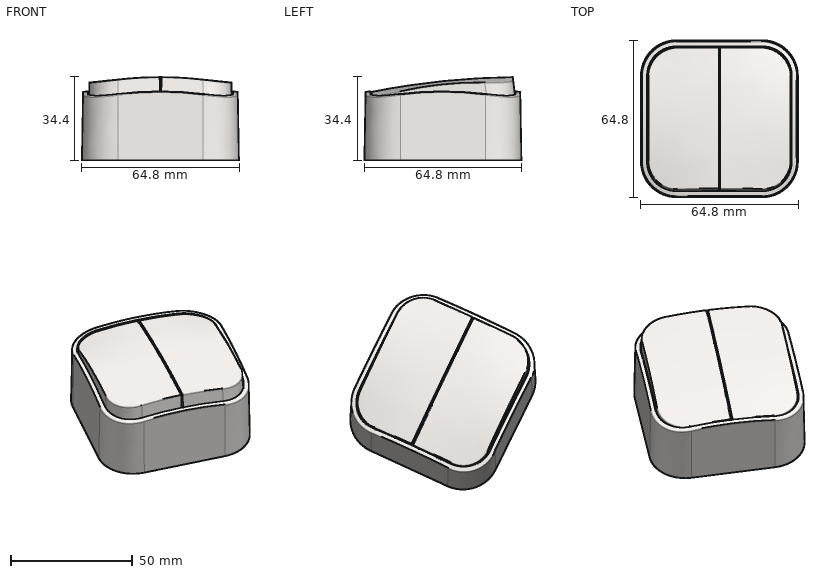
import cadquery as cq
import math

SIZE = 64.8
CORNER_FLAT = 17.5
BLANK_HEIGHT = 32.4
DRAFT = 1.0
RIM_HEIGHT = 28.3

DOME_REACH = 33.7
SIDE_DROP = 1.8
CORNER_DROP = 6.35
DOME_DEPTH = 38.9

RECESS_HALF = 29.9
RECESS_DEPTH = 1.6

KEY_HALF = 29.35
KEY_CROWN = 4.4
KEY_ROOT = 6.5
KEY_TILT = 6.0
KEY_GAP = 0.7

RIB_OFFSET = 14.85
RIB_LENGTH = 1.15
RIB_PROUD = 0.25
RIB_TOP = 3.4

EDGE_ROUND = 0.2

rim_half = SIZE / 2 - RIM_HEIGHT * math.tan(math.radians(DRAFT))
dome_top = RIM_HEIGHT + SIDE_DROP * (rim_half / DOME_REACH) ** 2


def rounded_square(half, height, bottom, draft=0.0):
    """Square block whose corner roundings are centred at the ends of the flat walls."""
    profile = cq.Sketch().rect(2 * half, 2 * half).vertices().fillet(half - CORNER_FLAT)
    return cq.Workplane("XY").workplane(offset=bottom).placeSketch(profile).extrude(height, taper=draft)


def dome_block(top):
    """Solid under the dome, lofted through three arched sections along X."""

    def section(x, middle, end):
        return (
            cq.Workplane("YZ", origin=(x, 0, top))
            .moveTo(-DOME_REACH, -DOME_DEPTH)
            .lineTo(DOME_REACH, -DOME_DEPTH)
            .lineTo(DOME_REACH, -end)
            .threePointArc((0, -middle), (-DOME_REACH, -end))
            .close()
            .val()
        )

    sections = [
        section(-DOME_REACH, SIDE_DROP, CORNER_DROP),
        section(0, 0, SIDE_DROP),
        section(DOME_REACH, SIDE_DROP, CORNER_DROP),
    ]
    return cq.Workplane(cq.Solid.makeLoft(sections))


def make_housing():
    body = rounded_square(SIZE / 2, BLANK_HEIGHT, 0, DRAFT).intersect(dome_block(dome_top))
    body = body.faces(">Z").edges().fillet(EDGE_ROUND)
    cavity = rounded_square(RECESS_HALF, BLANK_HEIGHT, 0).cut(dome_block(dome_top - RECESS_DEPTH))
    return body.cut(cavity)


def make_rib(side):
    """Upright rib on the inner face of the key on the given side (-1 or 1)."""
    height = RIB_TOP + KEY_ROOT
    x = side * (KEY_GAP - RIB_PROUD) / 2
    return (
        cq.Workplane("XY")
        .box(RIB_PROUD, RIB_LENGTH, height, centered=(True, True, False))
        .translate((x, side * RIB_OFFSET, -KEY_ROOT))
    )


def make_keys():
    """Key pair built around the pivot, then rocked and lifted into place."""
    root_half = KEY_HALF + KEY_ROOT * math.tan(math.radians(DRAFT))
    keys = rounded_square(root_half, 2 * KEY_ROOT, -KEY_ROOT, DRAFT)
    keys = keys.intersect(dome_block(KEY_CROWN))
    keys = keys.faces(">Z").edges().fillet(EDGE_ROUND)
    keys = keys.cut(cq.Workplane("XY").box(KEY_GAP, SIZE, SIZE))
    for side in (-1, 1):
        keys = keys.union(make_rib(side))
    return keys.rotate((0, 0, 0), (1, 0, 0), -KEY_TILT).translate((0, 0, RIM_HEIGHT))


result = make_housing().union(make_keys()).solids()